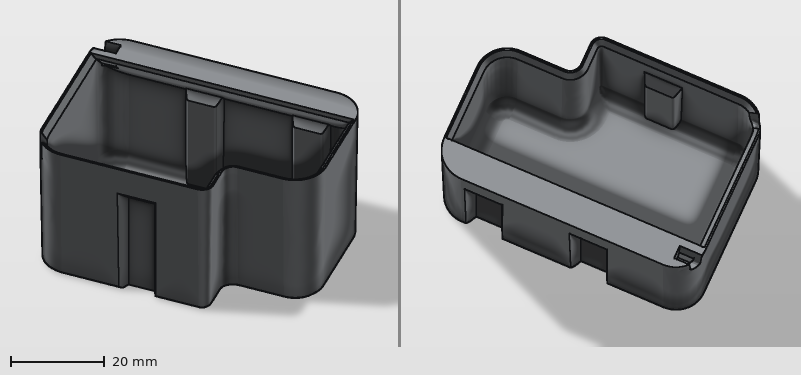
import cadquery as cq
import math

LENGTH = 61.0
WIDTH = 41.2
HEIGHT = 33.7

CORNER_RADIUS = 7.0
STEP_X = 41.0
STEP_Y = 10.0
STEP_RADIUS = 2.55

OUTER_DRAFT = 0.5
INNER_DRAFT = 0.4
WALL = 1.6
FLOOR = 1.0
FLOOR_FILLET = 3.9
RIM_WIDTH = 0.4
RIM_BEVEL_HEIGHT = 1.45
BASE_CHAMFER_HEIGHT = 1.0
BASE_CHAMFER_WIDTH = 1.0

SHELF_DEPTH = 7.1
SHELF_EDGE = 1.2
SHELF_SLOPE = math.tan(math.radians(52))

GROOVE_DEPTH = 3.0
GROOVE_FLOOR_WIDTH = 6.0
GROOVE_FLOOR_TOP = 24.05
GROOVE_FLARE = 0.5
RIB_WALL = 0.9
RIB_FILLET = 0.75
RIB_WIDTH = 6.6
RIB_TOP = 24.5
FRONT_GROOVE_X = 24.4
BACK_GROOVE_XS = (24.4, 48.8)

NOTCH_LENGTH = 5.35
NOTCH_FROM_EDGE = 3.8
NOTCH_DEPTH = 5.0
NOTCH_TOP_WIDTH = 3.0
NOTCH_BOTTOM_WIDTH = 2.2
NOTCH_FILLET = 0.75


def outline(inset, z):
    """Closed stepped outline at height z, moved inwards by inset."""
    x0 = y0 = inset
    x1 = LENGTH - inset
    y1 = WIDTH - inset
    step_x = STEP_X - inset
    step_y = STEP_Y + inset
    corner = CORNER_RADIUS - inset
    outer_step = STEP_RADIUS - inset
    inner_step = STEP_RADIUS + inset
    return (
        cq.Workplane("XY", origin=(0, 0, z))
        .moveTo(x0 + corner, y0)
        .lineTo(step_x - outer_step, y0)
        .radiusArc((step_x, y0 + outer_step), -outer_step)
        .lineTo(step_x, step_y - inner_step)
        .radiusArc((step_x + inner_step, step_y), inner_step)
        .lineTo(x1 - corner, step_y)
        .radiusArc((x1, step_y + corner), -corner)
        .lineTo(x1, y1 - corner)
        .radiusArc((x1 - corner, y1), -corner)
        .lineTo(x0 + corner, y1)
        .radiusArc((x0, y1 - corner), -corner)
        .lineTo(x0, y0 + corner)
        .radiusArc((x0 + corner, y0), -corner)
        .close()
        .val()
    )


def stepped_block(low_inset, low_z, high_inset, high_z):
    """Block whose walls run straight from one inset outline up to another."""
    wires = [outline(low_inset, low_z), outline(high_inset, high_z)]
    return cq.Workplane(cq.Solid.makeLoft(wires, True))


def outer_body():
    """Leaning outer walls above a bevelled base."""
    walls = stepped_block(OUTER_DRAFT, BASE_CHAMFER_HEIGHT, 0, HEIGHT)
    base_inset = OUTER_DRAFT + BASE_CHAMFER_WIDTH
    base = stepped_block(base_inset, 0, OUTER_DRAFT, BASE_CHAMFER_HEIGHT)
    return walls.union(base)


def cavity():
    """Room with a rounded floor edge, opening through a bevel at the rim."""
    floor_inset = WALL + INNER_DRAFT
    bevel_z = HEIGHT - RIM_BEVEL_HEIGHT
    room = stepped_block(floor_inset, FLOOR, WALL, bevel_z)
    room = room.faces("<Z").edges().fillet(FLOOR_FILLET)
    rim = stepped_block(WALL, bevel_z, RIM_WIDTH, HEIGHT)
    return room.union(rim)


def shelf(body):
    """Flat ledge over the back wall with a sloped underside, trimmed to the body."""
    front = WIDTH - SHELF_DEPTH
    edge_z = HEIGHT - SHELF_EDGE
    profile = (
        cq.Workplane("YZ")
        .moveTo(front, HEIGHT)
        .lineTo(WIDTH, HEIGHT)
        .lineTo(WIDTH, edge_z - SHELF_DEPTH * SHELF_SLOPE)
        .lineTo(front, edge_z)
        .close()
        .extrude(LENGTH)
    )
    return profile.intersect(body)


def flared_key(depth, floor_width, floor_top, center_x):
    """Wedge entering the front wall: flared sides and a 45 degree top, open below."""
    half = floor_width / 2
    flare = GROOVE_FLARE * depth
    section = (
        cq.Workplane("XY")
        .moveTo(center_x - half - flare, 0)
        .lineTo(center_x - half, depth)
        .lineTo(center_x + half, depth)
        .lineTo(center_x + half + flare, 0)
        .close()
        .extrude(HEIGHT)
    )
    side = (
        cq.Workplane("YZ")
        .lineTo(depth, 0)
        .lineTo(depth, floor_top)
        .lineTo(0, floor_top + depth)
        .close()
        .extrude(LENGTH)
    )
    return section.intersect(side)


def to_back(key):
    """Turn a front-wall key into the matching one in the back wall."""
    return key.mirror("XZ").translate((0, WIDTH, 0))


def groove(x):
    return flared_key(GROOVE_DEPTH, GROOVE_FLOOR_WIDTH, GROOVE_FLOOR_TOP, x)


def rib(x):
    """Larger wedge around a groove, with its inner upright edges rounded."""
    key = flared_key(GROOVE_DEPTH + RIB_WALL, RIB_WIDTH, RIB_TOP, x)
    return key.faces(">Y").edges("|Z").fillet(RIB_FILLET)


def notch(center_y):
    """Tapered slot with a rounded bottom, entering from the left side."""
    profile = (
        cq.Workplane("YZ")
        .moveTo(center_y - NOTCH_TOP_WIDTH / 2, HEIGHT)
        .lineTo(center_y + NOTCH_TOP_WIDTH / 2, HEIGHT)
        .lineTo(center_y + NOTCH_BOTTOM_WIDTH / 2, HEIGHT - NOTCH_DEPTH)
        .lineTo(center_y - NOTCH_BOTTOM_WIDTH / 2, HEIGHT - NOTCH_DEPTH)
        .close()
        .extrude(NOTCH_LENGTH)
    )
    return profile.faces("<Z").edges("|X").fillet(NOTCH_FILLET)


body = outer_body()
result = body.cut(cavity()).union(shelf(body))

ribs = rib(FRONT_GROOVE_X)
grooves = groove(FRONT_GROOVE_X)
for groove_x in BACK_GROOVE_XS:
    ribs = ribs.union(to_back(rib(groove_x)))
    grooves = grooves.union(to_back(groove(groove_x)))
result = result.union(ribs.intersect(body)).cut(grooves)

for notch_y in (NOTCH_FROM_EDGE, WIDTH - NOTCH_FROM_EDGE):
    result = result.cut(notch(notch_y))